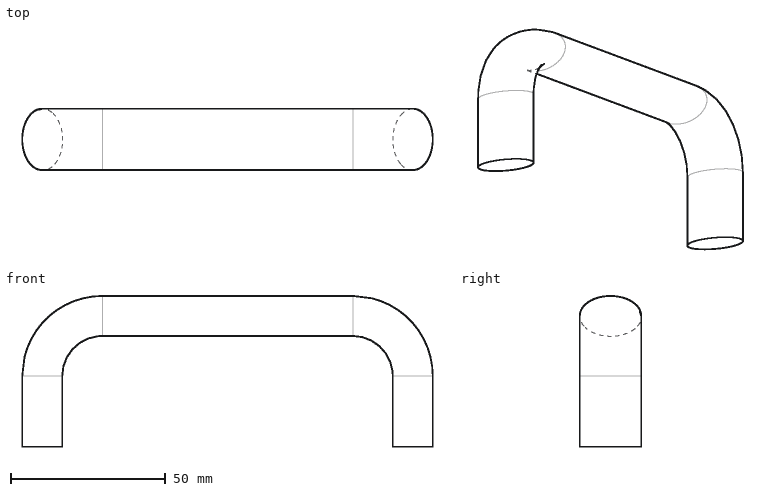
import cadquery as cq

length = 132.9
height = 48.9

bar_width = 20.0
bar_thickness = 13.0

bend_radius = 19.4
leg_x = (length - bar_thickness) / 2
rail_z = height - bar_thickness / 2
leg_top_z = rail_z - bend_radius
bend_x = leg_x - bend_radius

path = (
    cq.Workplane("XZ")
    .moveTo(-leg_x, 0)
    .lineTo(-leg_x, leg_top_z)
    .tangentArcPoint((-bend_x, rail_z), relative=False)
    .lineTo(bend_x, rail_z)
    .tangentArcPoint((leg_x, leg_top_z), relative=False)
    .lineTo(leg_x, 0)
)

section = cq.Workplane("XY", origin=(-leg_x, 0, 0)).ellipse(bar_thickness / 2, bar_width / 2)
result = section.sweep(path)